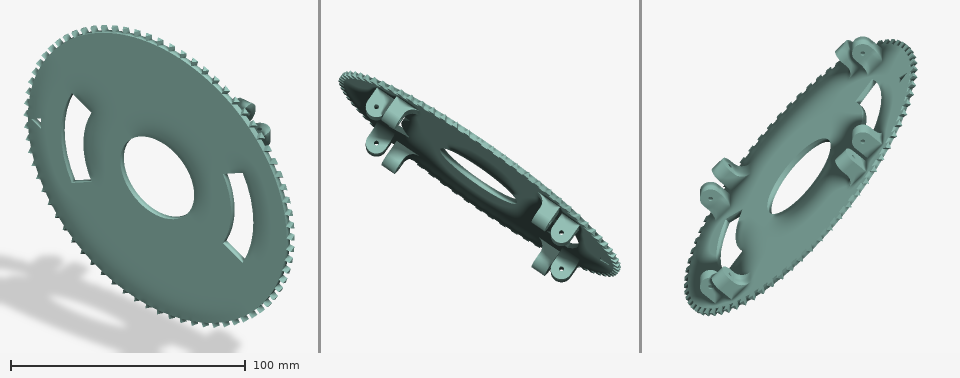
import cadquery as cq
import math

disc_radius = 70.0
disc_thickness = 2.5
overall_depth = 14.0
bore_diameter = 40.0

overall_radius = 72.5
tooth_count = 72
tooth_width = 3.0
tooth_overlap = 0.7
tooth_root_radius = disc_radius - tooth_overlap

window_inner_radius = 40.0
window_outer_radius = 52.0
window_half_angle = math.radians(27.3)

pointer_tip_x = -68.5
pointer_base_x = -63.1
pointer_half_height = 2.6

lug_width = 9.1
lug_thickness = 6.8
lug_center_offset = 48.0
lug_outer_face = 42.3
lug_hole_diameter = 2.0
lug_fillet_radius = 5.0


def extrude_disc_thickness(profile):
    """Extrude an XZ profile from the front face of the disc to its back face."""
    return profile.extrude(-disc_thickness)


def make_disc():
    profile = cq.Workplane("XZ").circle(disc_radius).circle(bore_diameter / 2)
    return extrude_disc_thickness(profile)


def make_tooth():
    """Triangular prism along +Z, started inside the rim so that it joins the disc."""
    return (
        cq.Workplane("XY", origin=(0, 0, tooth_root_radius))
        .moveTo(0, 0)
        .lineTo(tooth_width / 2, disc_thickness)
        .lineTo(-tooth_width / 2, disc_thickness)
        .close()
        .extrude(overall_radius - tooth_root_radius)
    )


def make_window():
    """Ring sector with radial ends, centred on the +X axis."""
    def polar(radius, angle):
        return (radius * math.cos(angle), radius * math.sin(angle))

    profile = (
        cq.Workplane("XZ")
        .moveTo(*polar(window_inner_radius, -window_half_angle))
        .lineTo(*polar(window_outer_radius, -window_half_angle))
        .threePointArc((window_outer_radius, 0), polar(window_outer_radius, window_half_angle))
        .lineTo(*polar(window_inner_radius, window_half_angle))
        .threePointArc((window_inner_radius, 0), polar(window_inner_radius, -window_half_angle))
        .close()
    )
    return extrude_disc_thickness(profile)


def make_pointer():
    profile = cq.Workplane("XZ").polyline([
        (pointer_tip_x, 0),
        (pointer_base_x, pointer_half_height),
        (pointer_base_x, -pointer_half_height),
    ]).close()
    return extrude_disc_thickness(profile)


def make_lug():
    """Round-ended lug drilled along Z, with a fillet from its inner face to the disc."""
    lug_radius = lug_width / 2
    hole_y = overall_depth - lug_radius
    lug_inner_face = lug_outer_face - lug_thickness
    base = cq.Workplane("XY", origin=(lug_center_offset, 0, lug_inner_face))

    foot_y = disc_thickness / 2
    shank = base.center(0, (foot_y + hole_y) / 2).rect(lug_width, hole_y - foot_y).extrude(lug_thickness)
    head = base.center(0, hole_y).circle(lug_radius).extrude(lug_thickness)
    hole = base.center(0, hole_y).circle(lug_hole_diameter / 2).extrude(lug_thickness)

    fillet_start_z = lug_inner_face - lug_fillet_radius
    fillet_top_y = disc_thickness + lug_fillet_radius
    arc_offset = lug_fillet_radius * math.sqrt(0.5)
    arc_middle = (fillet_top_y - arc_offset, fillet_start_z + arc_offset)
    fillet = (
        cq.Workplane("YZ", origin=(lug_center_offset - lug_radius, 0, 0))
        .moveTo(foot_y, fillet_start_z)
        .lineTo(disc_thickness, fillet_start_z)
        .threePointArc(arc_middle, (fillet_top_y, lug_inner_face))
        .lineTo(foot_y, lug_inner_face)
        .close()
        .extrude(lug_width)
    )
    return shank.union(head).union(fillet).cut(hole)


result = make_disc()

window = make_window()
result = result.cut(window).cut(window.mirror("YZ")).cut(make_pointer())

lug = make_lug()
partner_lug = lug.mirror("XY").rotate((0, 0, 0), (0, 1, 0), -90)
for pair_member in (lug, partner_lug):
    for right_or_left in (pair_member, pair_member.mirror("YZ")):
        result = result.union(right_or_left).union(right_or_left.mirror("XY"))

tooth_pitch = 360 / tooth_count
tooth = make_tooth().val()
teeth = [tooth.rotate((0, 0, 0), (0, 1, 0), index * tooth_pitch) for index in range(tooth_count)]
result = result.union(cq.Workplane("XY").newObject(teeth))